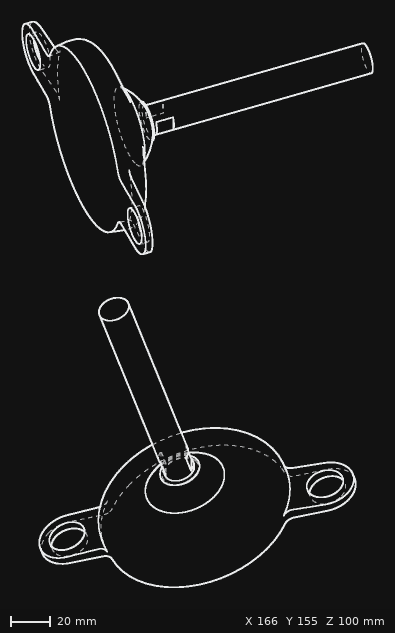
import cadquery as cq
import math


foot_radius = 50.0
sole_radius = 49.1
plate_height = 5.8
overall_length = 166
lug_radius = 15.0
lug_centre = overall_length / 2 - lug_radius
lug_tip_height = 3.8
lug_hole_diameter = 19.0
lug_fillet = 5.0

band_top = 9.1
shoulder_radius = 7.0
cone_angle = math.radians(18.8)
cone_top_radius = 22.2
sphere_radius = 25.7
sphere_height = 10.0
dome_start_radius = 20.9
dome_top_radius = 9.6

stud_radius = 8.0
stud_top = 155.0
collar_radius = 10.5
collar_top = 35.0
collar_rim_height = 34.4
flats_bottom = 36.9
flats_top = 46.1
flats_width = 13.3


def sphere_height_at(radius):
    """Height of the dome's sphere at a given distance from the axis."""
    return sphere_height + math.sqrt(sphere_radius**2 - radius**2)


dome_top = sphere_height_at(dome_top_radius)


def revolve_about_y(profile):
    return profile.close().revolve(360, (0, 0, 0), (0, 1, 0))


def extrude_up(sketch, height):
    """Extrude an XZ sketch toward +Y."""
    return sketch.extrude(-height)


def make_plate():
    """Tapered disc with two filleted lugs whose top faces slope down outward."""
    disc = revolve_about_y(
        cq.Workplane("XY")
        .lineTo(sole_radius, 0)
        .lineTo(foot_radius, plate_height)
        .lineTo(0, plate_height)
    )
    strip = extrude_up(
        cq.Workplane("XZ").slot2D(overall_length, 2 * lug_radius), plate_height
    )
    plate = disc.union(strip)

    corner_x = math.sqrt(foot_radius**2 - lug_radius**2)
    reach = 3.3
    for x in (-corner_x, corner_x):
        for z in (-lug_radius, lug_radius):
            corner = cq.selectors.BoxSelector(
                (x - reach, 0, z - reach), (x + reach, plate_height, z + reach)
            )
            plate = plate.edges(corner).edges("not #Y").fillet(lug_fillet)

    slope_waste = (
        cq.Workplane("XY")
        .moveTo(foot_radius, plate_height)
        .lineTo(overall_length / 2, lug_tip_height)
        .lineTo(overall_length, lug_tip_height)
        .lineTo(overall_length, plate_height)
        .close()
        .extrude(2 * lug_radius, both=True)
    )
    plate = plate.cut(slope_waste).cut(slope_waste.mirror("YZ"))

    holes = extrude_up(
        cq.Workplane("XZ")
        .pushPoints([(-lug_centre, 0), (lug_centre, 0)])
        .circle(lug_hole_diameter / 2),
        plate_height,
    )
    return plate.cut(holes)


def make_shell():
    """Revolved band, rounded shoulder, cone and flat-topped dome."""
    shoulder_end_radius = foot_radius - shoulder_radius * (1 - math.sin(cone_angle))
    shoulder_end_height = band_top + shoulder_radius * math.cos(cone_angle)
    cone_rise = (shoulder_end_radius - cone_top_radius) * math.tan(cone_angle)
    mid_dome_radius = (dome_start_radius + dome_top_radius) / 2
    return revolve_about_y(
        cq.Workplane("XY")
        .moveTo(0, plate_height)
        .lineTo(foot_radius, plate_height)
        .lineTo(foot_radius, band_top)
        .tangentArcPoint((shoulder_end_radius, shoulder_end_height), relative=False)
        .lineTo(cone_top_radius, shoulder_end_height + cone_rise)
        .tangentArcPoint(
            (dome_start_radius, sphere_height_at(dome_start_radius)), relative=False
        )
        .threePointArc(
            (mid_dome_radius, sphere_height_at(mid_dome_radius)),
            (dome_top_radius, dome_top),
        )
        .lineTo(0, dome_top)
    )


def make_foot():
    return make_plate().union(make_shell())


def make_stud():
    """Rod with a flared collar seated on the dome and two wrench flats."""
    stud = revolve_about_y(
        cq.Workplane("XY")
        .moveTo(0, dome_top)
        .lineTo(dome_top_radius, dome_top)
        .lineTo(collar_radius, collar_rim_height)
        .lineTo(stud_radius, collar_top)
        .lineTo(stud_radius, stud_top)
        .lineTo(0, stud_top)
    )
    flats_length = flats_top - flats_bottom
    flats_middle = (flats_top + flats_bottom) / 2
    for side in (-1, 1):
        flat_cut = cq.Workplane("XY").box(stud_radius, flats_length, 2 * stud_radius)
        offset = side * (flats_width + stud_radius) / 2
        stud = stud.cut(flat_cut.translate((offset, flats_middle, 0)))
    return stud


foot = make_foot()
stud = make_stud()
result = cq.Compound.makeCompound([foot.val(), stud.val()])